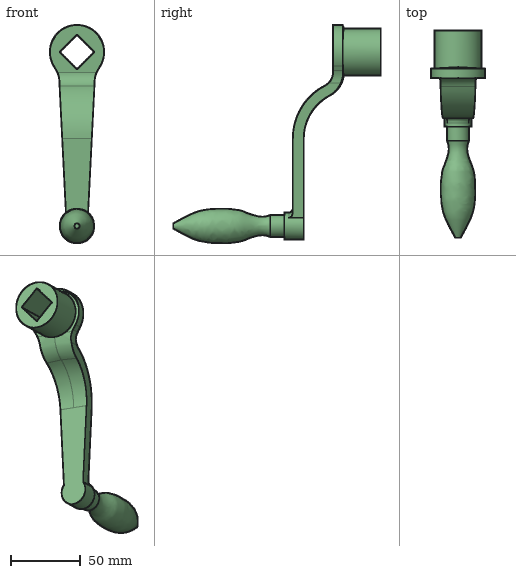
import cadquery as cq
import math

flange_radius = 39.0 / 2
barrel_radius = 17.0
barrel_end_y = 34.3
square_diagonal = 24.6
crown_drop = 1.1
bevel_overcut = 1.5

total_height = 156.8
total_depth = 149
handle_radius = 25.0 / 2
handle_z = flange_radius - total_height + handle_radius
tip_y = barrel_end_y - total_depth

arm_thickness = 8.0
arm_front_y = -28.9
arm_back_y = arm_front_y + arm_thickness
upper_bend_z = -14.5
lower_bend_radius = 42.7
lower_bend_z = -62.0

flange_tangent_angle = math.radians(30)
flare_end_half_width = 14.9
neck_half_width = 12.7
neck_z = -22.1
boss_radius = 9.7
arm_end_half_width = 7.8

boss_front_y = -34.8
boss_fillet = 3.0
shank_radius = 15.8 / 2
shank_end_y = -45.0
waist_radius = 6.7
waist_y = -51.0
tip_radius = 1.9
grip_points = [
    (waist_radius, waist_y),
    (7.4, -55.4),
    (11.0, -65.4),
    (handle_radius, -80.5),
    (11.0, -95.5),
    (6.9, -105.4),
    (tip_radius, tip_y),
]


def cylinder(radius, start_y, end_y, z):
    """Solid cylinder along Y."""
    base = cq.Workplane("XZ", origin=(0, start_y, 0)).center(0, z)
    return base.circle(radius).extrude(start_y - end_y)


def bend_join(flange_y, straight_y, lower_radius):
    """Point (y, z) where the two tangent arcs joining flange and straight arm meet."""
    turn = 2 * math.atan((flange_y - straight_y) / (upper_bend_z - lower_bend_z))
    return (
        straight_y + lower_radius * (1 - math.cos(turn)),
        lower_bend_z + lower_radius * math.sin(turn),
    )


def draw_side_profile(plane, flange_thickness):
    """Side profile of the flange and cranked arm, with the given flange thickness."""
    front_join = bend_join(0, arm_front_y, lower_bend_radius)
    back_join = bend_join(flange_thickness, arm_back_y, lower_bend_radius - arm_thickness)
    return (
        plane.moveTo(0, flange_radius)
        .lineTo(0, upper_bend_z)
        .tangentArcPoint(front_join, relative=False)
        .tangentArcPoint((arm_front_y, lower_bend_z), relative=False)
        .lineTo(arm_front_y, handle_z)
        .lineTo(arm_back_y, handle_z)
        .lineTo(arm_back_y, lower_bend_z)
        .tangentArcPoint(back_join, relative=False)
        .tangentArcPoint((flange_thickness, upper_bend_z), relative=False)
        .lineTo(flange_thickness, flange_radius)
        .close()
    )


def crowned_strip():
    """Bent strip, thickest at X = 0; the crown of its back fades out at the straight arm."""
    middle = draw_side_profile(cq.Workplane("YZ"), arm_thickness)
    side_plane = middle.workplane(offset=flange_radius, origin=(0, 0, 0))
    half = draw_side_profile(side_plane, arm_thickness - crown_drop).loft(ruled=True)
    return half.union(half.mirror("YZ"))


def arm_outline():
    """Round flange flaring into the tapered arm, extruded along Y."""
    tangent_x = flange_radius * math.cos(flange_tangent_angle)
    tangent_z = -flange_radius * math.sin(flange_tangent_angle)
    flare_z = tangent_z - (tangent_x - flare_end_half_width) / math.tan(flange_tangent_angle)
    arm_end_z = handle_z + math.sqrt(boss_radius**2 - arm_end_half_width**2)
    half = (
        cq.Workplane("XZ", origin=(0, barrel_end_y, 0))
        .moveTo(0, flange_radius)
        .threePointArc((flange_radius, 0), (tangent_x, tangent_z))
        .lineTo(flare_end_half_width, flare_z)
        .tangentArcPoint((neck_half_width, neck_z), relative=False)
        .lineTo(arm_end_half_width, arm_end_z)
        .lineTo(arm_end_half_width, handle_z)
        .lineTo(0, handle_z)
        .close()
        .extrude(total_depth)
    )
    return half.union(half.mirror("YZ"))


def flange_bevel():
    """Half ring to cut from the upper back of the flange, leaving a cone outside the barrel."""
    rim_y = arm_thickness - crown_drop
    outer_radius = flange_radius + bevel_overcut
    ring = (
        cq.Workplane("XY")
        .moveTo(barrel_radius, arm_thickness)
        .lineTo(flange_radius, rim_y)
        .lineTo(outer_radius, rim_y)
        .lineTo(outer_radius, arm_thickness)
        .close()
        .revolve(360, (0, 0, 0), (0, 1, 0))
    )
    upper_half = cq.Workplane("XY").box(
        total_height, total_height, total_height, centered=(True, True, False)
    )
    return ring.intersect(upper_half)


def make_arm():
    """Bent strip trimmed to its outline, with the upper flange rim bevelled."""
    return crowned_strip().intersect(arm_outline()).cut(flange_bevel())


def make_handle():
    """Turned handle: shank, waist and swelling grip that narrows to the tip."""
    return (
        cq.Workplane("XY")
        .moveTo(0, arm_front_y)
        .lineTo(shank_radius, arm_front_y)
        .lineTo(shank_radius, shank_end_y)
        .spline(grip_points, includeCurrent=True)
        .lineTo(0, tip_y)
        .close()
        .revolve(360, (0, 0, 0), (0, 1, 0))
        .translate((0, 0, handle_z))
    )


def make_square_hole():
    """Square hole through the hub, with its corners on the X and Z axes."""
    base = cq.Workplane("XZ", origin=(0, barrel_end_y, 0))
    return base.polygon(4, square_diagonal).extrude(barrel_end_y)


boss = cylinder(boss_radius, arm_back_y, boss_front_y, handle_z)
arm = make_arm().union(boss)
boss_top = (0, arm_front_y, handle_z + boss_radius)
arm = arm.edges(cq.selectors.NearestToPointSelector(boss_top)).fillet(boss_fillet)

barrel = cylinder(barrel_radius, barrel_end_y, 0, 0)
result = arm.union(barrel).union(make_handle()).cut(make_square_hole())